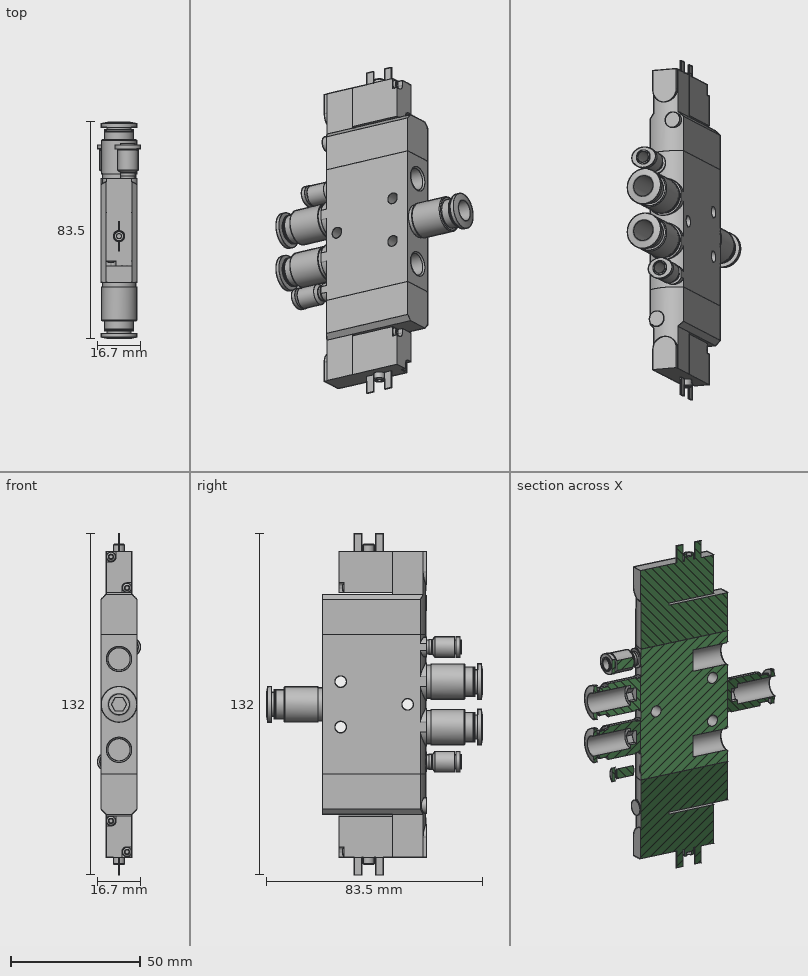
import cadquery as cq
import math


total_height = 132.0
total_depth = 83.5
fitting_length = 21.6
seat_y = total_depth / 2 - fitting_length

body_width = 14.0
half_width = body_width / 2
crown_edge_y = 17.7
crown_top_y = 19.8
housing_top = 26.9
cap_top = 42.5
cap_chamfer = 2.0
override_diameter = 6.1
override_x = -3.3
override_z = 39.1
override_root_y = 15.8

port_pitch = 17.5
small_port_x = 3.4
small_port_z = 22.2
large_boss_diameter = 14.5
small_boss_diameter = 7.7
boss_root_y = 15.8
open_port_diameter = 8.6
open_port_mouth = 9.8
open_port_depth = 15.8
mounting_hole_diameter = 4.4
back_hole_y = 12.8
front_hole_y = -13.1

pilot_width = body_width - 2 * cap_chamfer
pilot_top = 59.1
coil_width = 9.9
coil_back_y = 6.9
coil_front_y = -13.7
coil_gap = 0.7
coil_bottom = cap_top + coil_gap
plate_width = 9.8
plate_root_y = 17.2
plate_arc_z = 51.2

screw_pocket_radius = 2.0
screw_pocket_depth = 2.0
screw_inset_x = 1.8
screw_inset_top = 2.1
screw_inset_bottom = 1.8
screw_head_diameter = 3.5
screw_crown_diameter = 2.0
screw_head_height = 0.7
screw_socket_diameter = 1.6
screw_socket_depth = 0.5

plug_y = -2.2
plug_diameter = 4.4
plug_height = 2.8
plug_chamfer = 0.4
plug_hole_diameter = 2.0
plug_hole_depth = 1.3
prong_pitch = 8.3
prong_width = 3.0
prong_thickness = 0.5

large_rim_diameter = 13.9
large_body_diameter = 13.7
large_neck_diameter = 13.0
large_ring_diameter = 11.4
large_stem_diameter = 9.4
large_tip_diameter = 8.6
large_bore_diameter = 8.0
small_rim_width = 9.9
small_body_diameter = 8.0
small_neck_diameter = 5.5
small_collar_diameter = 5.8
small_bore_diameter = 4.4

large_neck_height = 1.7
large_body_top = 14.9
large_ring_top = 18.7
large_rim_bottom = 19.7
large_rim_top = 21.1
body_edge_chamfer = 0.4
ring_groove_bottom = 18.0
ring_groove_width = 0.4
ring_groove_depth = 0.1
small_neck_height = 2.2
small_collar_bottom = 0.9
small_collar_top = 2.0
small_taper_height = 0.9
small_body_top = 10.8
small_rim_bottom = 11.4
small_rim_top = 13.0
small_fitting_length = 13.5

large_bore_depth = 17.2
large_hex_flats = 5.1
large_hex_depth = 2.6
small_bore_depth = 9.2
small_hex_flats = 2.0
small_hex_depth = 2.6


def cylinder_y(diameter, x, z, y_start, y_end):
    """A round bar along Y between two depths."""
    bar = cq.Workplane("XY").circle(diameter / 2).extrude(y_end - y_start)
    return bar.rotate((0, 0, 0), (1, 0, 0), -90).translate((x, y_start, z))


def box(x_range, y_range, z_range):
    """A box given by its limits along each axis."""
    sizes = [high - low for low, high in (x_range, y_range, z_range)]
    corner = (x_range[0], y_range[0], z_range[0])
    return cq.Workplane("XY").box(*sizes, centered=False).translate(corner)


def crowned_block(z_bottom, z_top):
    """A length of the valve section: a rectangle whose back is a shallow arc."""
    return (
        cq.Workplane("XY")
        .workplane(offset=z_bottom)
        .moveTo(-half_width, -seat_y)
        .lineTo(half_width, -seat_y)
        .lineTo(half_width, crown_edge_y)
        .threePointArc((0, crown_top_y), (-half_width, crown_edge_y))
        .close()
        .extrude(z_top - z_bottom)
    )



large_ports = [(0, port_pitch / 2), (0, -port_pitch / 2)]
small_ports = [(small_port_x, small_port_z), (-small_port_x, -small_port_z)]
open_ports_z = [port_pitch, -port_pitch]
mounting_holes = [
    (back_hole_y, 0),
    (front_hole_y, port_pitch / 2),
    (front_hole_y, -port_pitch / 2),
]


def port_boss(x, z, diameter):
    """A flat seat for a fitting on the crowned back, cut off flush with the housing sides."""
    boss = cylinder_y(diameter, x, z, boss_root_y, seat_y)
    side_limits = box(
        (-half_width, half_width), (boss_root_y, seat_y), (-housing_top, housing_top)
    )
    return boss.intersect(side_limits)


def open_port(z):
    """A blind port with a countersunk mouth in the front face."""
    countersink = (open_port_mouth - open_port_diameter) / 2
    mouth_radius = open_port_mouth / 2
    bore_radius = open_port_diameter / 2
    return (
        cq.Workplane("XY")
        .polyline([
            (0, -seat_y),
            (mouth_radius, -seat_y),
            (bore_radius, -seat_y + countersink),
            (bore_radius, -seat_y + open_port_depth),
            (0, -seat_y + open_port_depth),
        ])
        .close()
        .revolve(360, (0, 0, 0), (0, 1, 0))
        .translate((0, 0, z))
    )


def make_housing():
    housing = crowned_block(-housing_top, housing_top)
    for x, z in large_ports:
        housing = housing.union(port_boss(x, z, large_boss_diameter))
    for x, z in small_ports:
        housing = housing.union(port_boss(x, z, small_boss_diameter))
    for z in open_ports_z:
        housing = housing.cut(open_port(z))
    holes = (
        cq.Workplane("YZ")
        .pushPoints(mounting_holes)
        .circle(mounting_hole_diameter / 2)
        .extrude(half_width, both=True)
    )
    return housing.cut(holes)




def make_cap():
    """The chamfered end cap with the round seat of the manual override on its back."""
    cap = crowned_block(housing_top, cap_top)
    cap = cap.faces(">Z").edges("<X or >X").chamfer(cap_chamfer)
    override = cylinder_y(override_diameter, override_x, override_z, override_root_y, seat_y)
    return cap.union(override)


def back_plate():
    """The plate on the back of the pilot, with a semicircular lower end."""
    plate_radius = plate_width / 2
    return (
        cq.Workplane("XZ", origin=(0, seat_y, 0))
        .moveTo(-plate_radius, pilot_top)
        .lineTo(-plate_radius, plate_arc_z)
        .threePointArc((0, plate_arc_z - plate_radius), (plate_radius, plate_arc_z))
        .lineTo(plate_radius, pilot_top)
        .close()
        .extrude(seat_y - plate_root_y)
    )


def screw_pocket(x, z, side, end):
    """A pocket around a screw, open towards the nearest side and end of the coil."""
    y_range = (coil_front_y, coil_front_y + screw_pocket_depth)
    reach = 2 * screw_pocket_radius
    pocket = cylinder_y(2 * screw_pocket_radius, x, z, *y_range)
    to_side = box(sorted((x, x + side * reach)), y_range, (z - screw_pocket_radius, z + screw_pocket_radius))
    to_end = box((x - screw_pocket_radius, x + screw_pocket_radius), y_range, sorted((z, z + end * reach)))
    return pocket.union(to_side).union(to_end)


def screw_head(x, z):
    """The conical head of a coil screw with its round socket."""
    floor_y = coil_front_y + screw_pocket_depth
    crown_y = floor_y - screw_head_height
    head_radius = screw_head_diameter / 2
    crown_radius = screw_crown_diameter / 2
    head = (
        cq.Workplane("XY")
        .polyline([(0, floor_y), (head_radius, floor_y), (crown_radius, crown_y), (0, crown_y)])
        .close()
        .revolve(360, (0, 0, 0), (0, 1, 0))
        .translate((x, 0, z))
    )
    return head.cut(cylinder_y(screw_socket_diameter, x, z, crown_y, crown_y + screw_socket_depth))


def make_coil():
    """The coil block with a screw in two opposite corners of its front."""
    side_x = coil_width / 2
    coil = box((-side_x, side_x), (coil_front_y, coil_back_y), (coil_bottom, pilot_top))
    screw_x = side_x - screw_inset_x
    upper = (-screw_x, pilot_top - screw_inset_top, -1, 1)
    lower = (screw_x, coil_bottom + screw_inset_bottom, 1, -1)
    for x, z, side, end in (upper, lower):
        coil = coil.cut(screw_pocket(x, z, side, end)).union(screw_head(x, z))
    return coil


def plug():
    """The round plug and the two flat contact prongs on the end of the pilot."""
    boss = (
        cq.Workplane("XY", origin=(0, plug_y, pilot_top))
        .circle(plug_diameter / 2)
        .extrude(plug_height)
        .faces(">Z")
        .chamfer(plug_chamfer)
        .faces(">Z")
        .workplane()
        .hole(plug_hole_diameter, plug_hole_depth)
    )
    prongs = (
        cq.Workplane("XY", origin=(0, plug_y, pilot_top))
        .pushPoints([(0, prong_pitch / 2), (0, -prong_pitch / 2)])
        .rect(prong_thickness, prong_width)
        .extrude(total_height / 2 - pilot_top)
    )
    return boss.union(prongs)


def make_end_unit():
    """The upper cap and pilot."""
    pilot_base = crowned_block(cap_top, pilot_top).intersect(
        box((-pilot_width / 2, pilot_width / 2), (coil_back_y, crown_top_y), (cap_top, pilot_top))
    )
    unit = make_cap().union(pilot_base).union(back_plate())
    return unit.union(make_coil()).union(plug())




def hex_socket(bore_diameter, bore_depth, flats, hex_depth, length):
    """The tube bore with a hexagon socket in its floor, measured down from the tip."""
    bore = cq.Workplane("XY").workplane(offset=length).circle(bore_diameter / 2).extrude(-bore_depth)
    corner_diameter = flats / math.cos(math.pi / 6)
    hexagon = (
        cq.Workplane("XY")
        .workplane(offset=length - bore_depth)
        .polygon(6, corner_diameter)
        .extrude(-hex_depth)
    )
    return bore.union(hexagon)


def revolved(profile):
    """A solid of revolution about Z from (radius, height) points."""
    return cq.Workplane("XZ").polyline(profile).close().revolve(360, (0, 0, 0), (0, 1, 0))


def make_large_fitting():
    """A large push-in fitting standing on its seat along +Z."""
    neck = large_neck_diameter / 2
    body = large_body_diameter / 2
    ring = large_ring_diameter / 2
    stem = large_stem_diameter / 2
    rim = large_rim_diameter / 2
    tip = large_tip_diameter / 2
    groove = ring - ring_groove_depth
    groove_top = ring_groove_bottom + ring_groove_width
    fitting = revolved([
        (0, 0),
        (neck, 0),
        (neck, large_neck_height),
        (body, large_neck_height),
        (body, large_body_top - body_edge_chamfer),
        (body - body_edge_chamfer, large_body_top),
        (ring, large_body_top),
        (ring, ring_groove_bottom),
        (groove, ring_groove_bottom),
        (groove, groove_top),
        (ring, groove_top),
        (ring, large_ring_top),
        (stem, large_ring_top),
        (stem, large_rim_bottom),
        (rim, large_rim_bottom),
        (rim, large_rim_top),
        (tip, fitting_length),
        (0, fitting_length),
    ])
    socket = hex_socket(
        large_bore_diameter, large_bore_depth, large_hex_flats, large_hex_depth, fitting_length
    )
    return fitting.cut(socket)


def make_small_fitting():
    """A small push-in fitting along +Z with an oval release rim."""
    neck = small_neck_diameter / 2
    collar = small_collar_diameter / 2
    body = small_body_diameter / 2
    fitting = revolved([
        (0, 0),
        (neck, 0),
        (neck, small_collar_bottom),
        (collar, small_collar_bottom),
        (collar, small_collar_top),
        (neck, small_collar_top),
        (neck, small_neck_height),
        (body, small_neck_height + small_taper_height),
        (body, small_body_top),
        (neck, small_body_top),
        (neck, small_fitting_length),
        (0, small_fitting_length),
    ])
    rim = (
        cq.Workplane("XY")
        .workplane(offset=small_rim_bottom)
        .ellipse(small_rim_width / 2, body)
        .extrude(small_rim_top - small_rim_bottom)
    )
    socket = hex_socket(
        small_bore_diameter, small_bore_depth, small_hex_flats, small_hex_depth, small_fitting_length
    )
    return fitting.union(rim).cut(socket)


def on_back(fitting, x, z):
    """Turn a fitting to point backwards (+Y) and seat it on a port boss."""
    return fitting.rotate((0, 0, 0), (1, 0, 0), -90).translate((x, seat_y, z))


def on_front(fitting):
    """Turn a fitting to point forwards (-Y) and seat it in the middle of the front face."""
    return fitting.rotate((0, 0, 0), (1, 0, 0), 90).translate((0, -seat_y, 0))



housing = make_housing()
upper_unit = make_end_unit()
end_units = [upper_unit.rotate((0, 0, 0), (0, 1, 0), angle) for angle in (0, 180)]
large_fitting = make_large_fitting()
large_fittings = [on_back(large_fitting, x, z) for x, z in large_ports]
large_fittings.append(on_front(large_fitting))
small_fitting = make_small_fitting()
small_fittings = [on_back(small_fitting, x, z) for x, z in small_ports]

bodies = [housing, *end_units, *large_fittings, *small_fittings]
result = cq.Compound.makeCompound([body.val() for body in bodies])